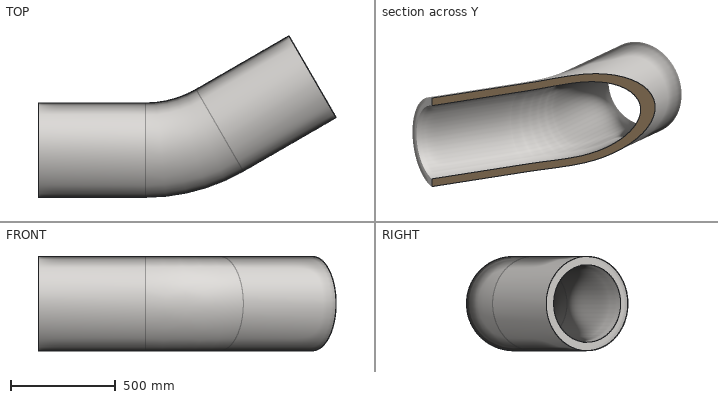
import cadquery as cq
import math

overall_length = 1419.0
outer_diameter = 450.0
bore_diameter = 369.0
leg_length = 511.0
bend_angle = 30.0

bend_sine = math.sin(math.radians(bend_angle))
bend_cosine = math.cos(math.radians(bend_angle))
end_face_reach = outer_diameter / 2 * bend_sine
straight_reach = leg_length * (1 + bend_cosine)
bend_radius = (overall_length - straight_reach - end_face_reach) / bend_sine


def pipe_section(face_plane):
    """Ring-shaped cross-section of the pipe, drawn on the given plane."""
    return cq.Workplane(face_plane).circle(outer_diameter / 2).circle(bore_diameter / 2)


inlet_leg = pipe_section(cq.Plane.YZ()).extrude(leg_length)

bend_plane = cq.Plane(origin=(leg_length, 0, 0), xDir=(0, 1, 0), normal=(1, 0, 0))
bend = pipe_section(bend_plane).revolve(bend_angle, (bend_radius, 0, 0), (bend_radius, 1, 0))

outlet_plane = cq.Plane(
    origin=(leg_length + bend_radius * bend_sine, bend_radius * (1 - bend_cosine), 0),
    xDir=(-bend_sine, bend_cosine, 0),
    normal=(bend_cosine, bend_sine, 0),
)
outlet_leg = pipe_section(outlet_plane).extrude(leg_length)

result = inlet_leg.union(bend).union(outlet_leg)